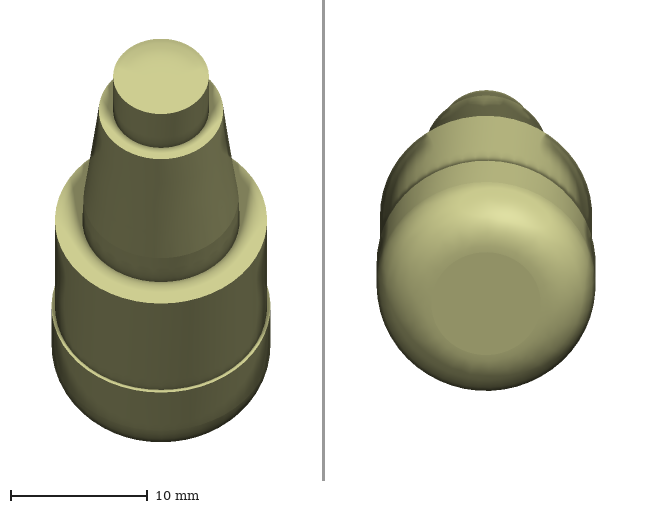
import cadquery as cq


cap_radius = 8.0
cap_height = 8.5
cap_rounding = 4.0

barrel_radius = 7.75
barrel_length = 10.2
collar_base_radius = 5.75
collar_top_radius = 5.65
collar_length = 2.7
taper_top_radius = 4.55
taper_length = 10.3
spigot_radius = 3.5
spigot_length = 4.0

barrel_top = cap_height + barrel_length
collar_top = barrel_top + collar_length
taper_top = collar_top + taper_length
spigot_top = taper_top + spigot_length


def make_cap():
    """Solid round cap with a large rounding around its free end."""
    blank = cq.Workplane("XY").circle(cap_radius).extrude(cap_height)
    return blank.faces("<Z").edges().fillet(cap_rounding)


def make_stem():
    """Barrel resting on the cap, then a slightly drafted collar, a steeper taper and an end spigot."""
    half_profile = (
        cq.Workplane("XZ")
        .moveTo(0, cap_height)
        .lineTo(barrel_radius, cap_height)
        .lineTo(barrel_radius, barrel_top)
        .lineTo(collar_base_radius, barrel_top)
        .lineTo(collar_top_radius, collar_top)
        .lineTo(taper_top_radius, taper_top)
        .lineTo(spigot_radius, taper_top)
        .lineTo(spigot_radius, spigot_top)
        .lineTo(0, spigot_top)
        .close()
    )
    return half_profile.revolve(360, (0, 0, 0), (0, 1, 0))


cap = make_cap()
stem = make_stem()

result = cq.Compound.makeCompound([cap.val(), stem.val()])